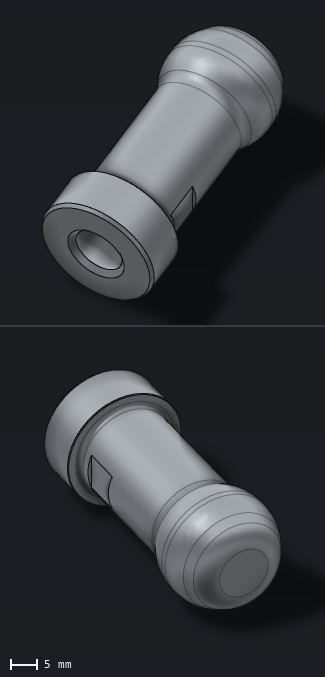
import cadquery as cq
import math

length = 56.5

collar_radius = 25.0 / 2
collar_height = 10.0
collar_chamfer_radial = 0.5
collar_chamfer_axial = 0.8
collar_edge_chamfer = 0.15

shank_radius = 19.5 / 2
shank_fillet = 1.0
flat_distance = 9.0
flat_start = 13.0
flat_end = 21.0

ball_radius = 24.0 / 2
band_start = 45.8
band_end = 47.1
flank_radius = 10.0
neck_fillet = 5.0
crown_fillet = 5.0
cone_start = 52.0

bore_radius = 10.2 / 2
bore_depth = 20.35
countersink_radius = 12.5 / 2
drill_point_angle = 118.0


def on_arc(center, radius, angle):
    """Point on a circle, at an angle in radians measured from the radial direction."""
    return (center[0] + radius * math.cos(angle), center[1] + radius * math.sin(angle))


def revolve_about_y(profile):
    return profile.close().revolve(360, (0, 0, 0), (0, 1, 0))


def make_body():
    flank_offset = ball_radius - flank_radius
    rear_center = (flank_offset, band_start)
    front_center = (flank_offset, band_end)

    neck_x = shank_radius + neck_fillet
    center_distance = flank_radius + neck_fillet
    neck_angle = math.acos((neck_x - flank_offset) / center_distance)
    neck_center = (neck_x, band_start - center_distance * math.sin(neck_angle))
    neck_end = on_arc(rear_center, flank_radius, -neck_angle)

    cone_angle = math.asin((cone_start - band_end) / flank_radius)
    cone_base = on_arc(front_center, flank_radius, cone_angle)
    cone_end_y = length - crown_fillet * (1 - math.sin(cone_angle))
    cone_end_x = cone_base[0] - (cone_end_y - cone_start) * math.tan(cone_angle)
    crown_center = (cone_end_x - crown_fillet * math.cos(cone_angle), length - crown_fillet)
    crown_middle_angle = (cone_angle + math.pi / 2) / 2

    fillet_center = (shank_radius + shank_fillet, collar_height + shank_fillet)

    profile = (
        cq.Workplane("XY")
        .lineTo(collar_radius - collar_chamfer_radial, 0)
        .lineTo(collar_radius, collar_chamfer_axial)
        .lineTo(collar_radius, collar_height - collar_edge_chamfer)
        .lineTo(collar_radius - collar_edge_chamfer, collar_height)
        .lineTo(fillet_center[0], collar_height)
        .threePointArc(
            on_arc(fillet_center, shank_fillet, -3 * math.pi / 4),
            (shank_radius, fillet_center[1]),
        )
        .lineTo(shank_radius, neck_center[1])
        .threePointArc(on_arc(neck_center, neck_fillet, math.pi - neck_angle / 2), neck_end)
        .threePointArc(
            on_arc(rear_center, flank_radius, -neck_angle / 2),
            (ball_radius, band_start),
        )
        .lineTo(ball_radius, band_end)
        .threePointArc(on_arc(front_center, flank_radius, cone_angle / 2), cone_base)
        .lineTo(cone_end_x, cone_end_y)
        .threePointArc(
            on_arc(crown_center, crown_fillet, crown_middle_angle),
            (crown_center[0], length),
        )
        .lineTo(0, length)
    )
    return revolve_about_y(profile)


def make_bore():
    countersink_depth = countersink_radius - bore_radius
    point_depth = bore_radius / math.tan(math.radians(drill_point_angle / 2))
    profile = (
        cq.Workplane("XY")
        .lineTo(countersink_radius, 0)
        .lineTo(bore_radius, countersink_depth)
        .lineTo(bore_radius, bore_depth)
        .lineTo(0, bore_depth + point_depth)
    )
    return revolve_about_y(profile)


def make_flat_cutter(side):
    """Block outside one wrench flat; side is -1 or +1 along X."""
    depth = collar_radius - flat_distance
    center_x = side * (flat_distance + depth / 2)
    center_y = (flat_start + flat_end) / 2
    block = cq.Workplane("XY").box(depth, flat_end - flat_start, 2 * collar_radius)
    return block.translate((center_x, center_y, 0))


result = make_body().cut(make_bore())
for side in (-1, 1):
    result = result.cut(make_flat_cutter(side))